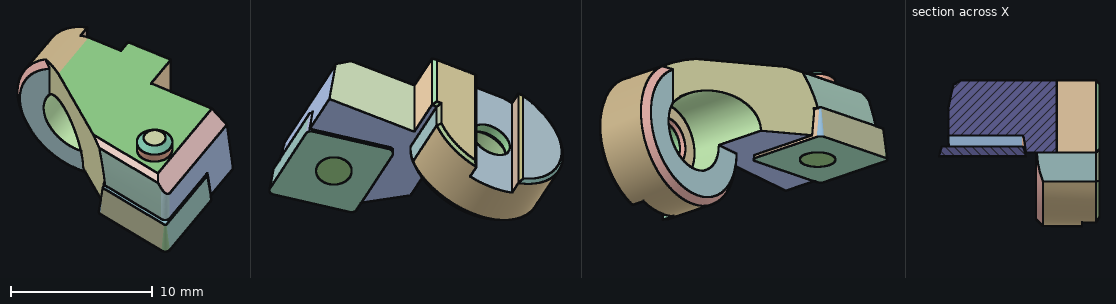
import cadquery as cq
import math


hub_radius = 5.2
hub_depth = 4.49
hub_front_chamfer = 0.5
hub_side_cut_x = 4.78
back_chamfer = 0.25
slot_width = 3.3
slot_depth = 1.24

bore_radius = 2.75
bore_floor_y = -2.25
hole_radius = 1.48
hole_rim_radius = 1.75

top_z = 5.1
tab_x = 5.16
arm_back_y = -3.01
arm_slope_start_x = -2.25
arm_slope_angle = 37.7
side_chamfer_start_x = 10.13
side_chamfer_end_x = 11.35
side_chamfer_end_z = 4.13
corner_radius = 0.4

relief_angle = 7.0
front_angle = 10.0
insert_width = 6.35
insert_bottom_z = -0.25
insert_thickness = 2.37
insert_right_x = 17.2 - hub_radius
insert_front_offset = 10.25

pocket_taper = 3.5

nose_top_offset = 8.63
nose_shoulder_offset = 9.15
nose_shoulder_z = 4.82
nose_seat_offset = 9.67

pin_x = 8.7
pin_y = -8.58
pin_radius = 1.25
pin_tip_radius = 0.77
pin_shoulder_z = 5.8
pin_top_z = 6.23

insert_top_z = insert_bottom_z + insert_thickness
relief_slope = math.tan(math.radians(relief_angle))
front_normal = cq.Vector(-math.sin(math.radians(front_angle)), -math.cos(math.radians(front_angle)), 0)
reach = 17.2


def box(x_range, y_range, z_range):
    """Box between two limits along each axis."""
    sizes = [high - low for low, high in (x_range, y_range, z_range)]
    corner = (x_range[0], y_range[0], z_range[0])
    return cq.Workplane("XY").box(*sizes, centered=False).translate(corner)


def front_edge_y(x, offset):
    """Y on a line parallel to the front edge, at a given distance from the Z axis."""
    return (offset - front_normal.x * x) / front_normal.y


def make_hub():
    """Round hub with a chamfered front rim, cut flat on its right side."""
    disc = cq.Workplane("XZ").circle(hub_radius).extrude(hub_depth)
    disc = disc.faces("<Y").chamfer(hub_front_chamfer)
    kept = box((-hub_radius, hub_side_cut_x), (-hub_depth, 0), (-hub_radius, top_z))
    return disc.intersect(kept)


def make_arm_side():
    """Arm as seen along Y: round over the hub, flat on top, chamfered and relieved on the right."""
    top_start_x = -math.sqrt(hub_radius**2 - top_z**2)
    mid_angle = (math.pi + math.asin(top_z / hub_radius)) / 2
    foot_x = side_chamfer_end_x + side_chamfer_end_z * relief_slope
    return (
        cq.Workplane("XZ")
        .moveTo(-hub_radius, 0)
        .threePointArc(
            (hub_radius * math.cos(mid_angle), hub_radius * math.sin(mid_angle)),
            (top_start_x, top_z),
        )
        .lineTo(side_chamfer_start_x, top_z)
        .lineTo(side_chamfer_end_x, side_chamfer_end_z)
        .lineTo(foot_x, 0)
        .close()
        .extrude(reach)
    )


def make_arm_plan():
    """Arm as seen along Z: tab at the back, sloping side toward the front."""
    slope = math.tan(math.radians(arm_slope_angle))

    def slope_y(x):
        return -hub_depth - slope * (x - arm_slope_start_x)

    slope_end_x = arm_slope_start_x + (reach - hub_depth) / slope
    outline = [
        (-hub_radius, 0),
        (tab_x, 0),
        (tab_x, arm_back_y),
        (insert_right_x, arm_back_y),
        (insert_right_x, -reach),
        (slope_end_x, -reach),
        (-hub_radius, slope_y(-hub_radius)),
    ]
    return cq.Workplane("XY").polyline(outline).close().extrude(top_z)


def make_arm_nose():
    """Arm as seen along its front edge: a relieved foot, an arc above it and a chamfer on top."""
    along_edge = front_normal.cross(cq.Vector(0, 0, 1))
    plane = cq.Plane(origin=(0, 0, 0), xDir=front_normal, normal=along_edge)
    return (
        cq.Workplane(plane)
        .moveTo(-reach, 0)
        .lineTo(nose_seat_offset + insert_top_z * relief_slope, 0)
        .lineTo(nose_seat_offset, insert_top_z)
        .tangentArcPoint((nose_shoulder_offset, nose_shoulder_z), relative=False)
        .lineTo(nose_top_offset, top_z)
        .lineTo(-reach, top_z)
        .close()
        .extrude(reach, both=True)
    )


def make_arm():
    """Arm with its front right corner rounded."""
    arm = make_arm_side().intersect(make_arm_plan()).intersect(make_arm_nose())
    behind_corner_y = front_edge_y(side_chamfer_end_x, nose_shoulder_offset)
    corner = cq.selectors.BoxSelector(
        (side_chamfer_end_x, -reach, 0),
        (insert_right_x, behind_corner_y, side_chamfer_end_z),
    )
    return arm.edges(corner).edges("not #Z").fillet(corner_radius)


def make_hub_cuts():
    """Bore open to the front, and a smaller hole with a chamfered rim through to the back."""
    rim_depth = hole_rim_radius - hole_radius
    half_profile = [
        (0, 0),
        (hole_radius, 0),
        (hole_radius, bore_floor_y + rim_depth),
        (hole_rim_radius, bore_floor_y),
        (bore_radius, bore_floor_y),
        (bore_radius, -reach),
        (0, -reach),
    ]
    return cq.Workplane("XY").polyline(half_profile).close().revolve(360, (0, 0, 0), (0, 1, 0))


def make_plate(taper):
    """Rhombic plate with round corners and sides that taper inward toward the top."""
    left_x = insert_right_x - insert_width
    front = insert_front_offset
    back = insert_front_offset - insert_width
    outline = [
        (left_x, front_edge_y(left_x, front)),
        (insert_right_x, front_edge_y(insert_right_x, front)),
        (insert_right_x, front_edge_y(insert_right_x, back)),
        (left_x, front_edge_y(left_x, back)),
    ]
    sketch = cq.Sketch().polygon(outline + outline[:1]).vertices().fillet(corner_radius)
    return (
        cq.Workplane("XY", origin=(0, 0, insert_bottom_z))
        .placeSketch(sketch)
        .extrude(insert_thickness, taper=taper)
    )


def make_pin():
    """Pin with a conical tip, from the underside of the insert to above the arm."""
    half_profile = [
        (0, insert_bottom_z),
        (pin_radius, insert_bottom_z),
        (pin_radius, pin_shoulder_z),
        (pin_tip_radius, pin_top_z),
        (0, pin_top_z),
    ]
    pin = cq.Workplane("XZ").polyline(half_profile).close().revolve(360, (0, 0, 0), (0, 1, 0))
    return pin.translate((pin_x, pin_y, 0))


def make_holder(pin):
    """Hub and arm in one, with the back slot, the screw hole, the insert pocket and the pin hole."""
    half_slot = slot_width / 2
    slot = box((-half_slot, half_slot), (-slot_depth, 0), (-hub_radius, hub_radius))
    body = make_hub().union(make_arm()).cut(slot)
    body = body.faces(">Y").chamfer(back_chamfer)
    pocket = make_plate(pocket_taper)
    return body.cut(make_hub_cuts()).cut(pocket).cut(pin)


def make_insert(pin):
    """Cutting plate with the pin hole through it."""
    return make_plate(relief_angle).cut(pin)


pin = make_pin()
holder = make_holder(pin)
insert = make_insert(pin)

result = cq.Compound.makeCompound([*holder.solids().vals(), *insert.solids().vals(), pin.val()])